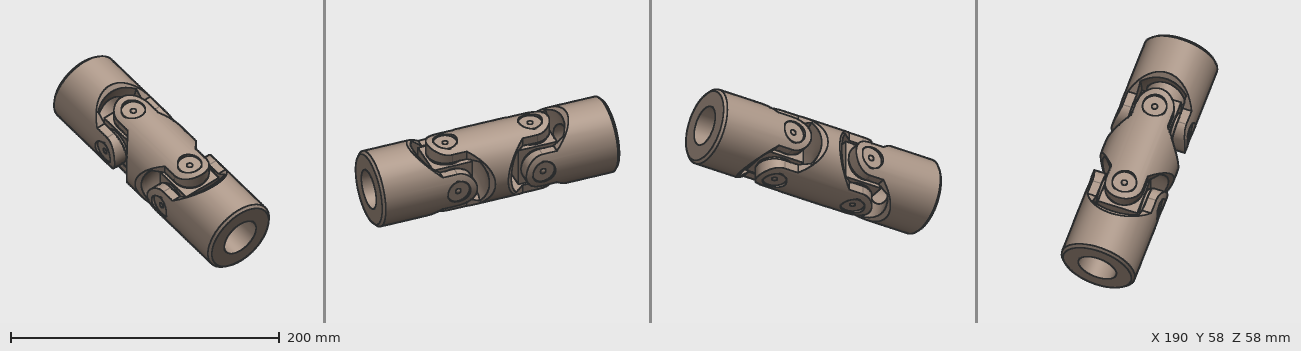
import cadquery as cq
import math


total_length = 190.0
body_diameter = 58.0
body_radius = body_diameter / 2
joint_spacing = 68.0
joint_offset = joint_spacing / 2
end_yoke_length = total_length / 2 - joint_offset

arm_half_width = 14.5
arm_inner_face = 18.0
shoulder_start = 28.9
shoulder_end = 11.5

slot_depth = 28.9
barrel_curve_radius = 95.0

bore_diameter = 30.0
end_chamfer = 2.0

cube_size = 31.0
boss_diameter = 26.0
pin_diameter = 18.0
pin_reach = 26.6
dome_diameter = 4.4
dome_height = 0.8


def barrel_radius_at(height):
    """Radius of the slot floor at a given distance from the middle of the body."""
    sagitta = barrel_curve_radius - math.sqrt(barrel_curve_radius**2 - height**2)
    return slot_depth - sagitta


def fork(back_length):
    """Fork with its joint centre at the origin, opening to +X, with its arms on the +Z and -Z sides."""
    body = (
        cq.Workplane("YZ", origin=(-back_length, 0, 0))
        .circle(body_radius)
        .extrude(back_length + arm_half_width)
    )

    arm_outline = (
        cq.Workplane("XY")
        .moveTo(-back_length, -body_radius)
        .lineTo(-shoulder_start, -body_radius)
        .lineTo(-shoulder_end, -arm_half_width)
        .lineTo(0, -arm_half_width)
        .threePointArc((arm_half_width, 0), (0, arm_half_width))
        .lineTo(-shoulder_end, arm_half_width)
        .lineTo(-shoulder_start, body_radius)
        .lineTo(-back_length, body_radius)
        .close()
        .extrude(body_radius, both=True)
    )

    slot_end_radius = barrel_radius_at(body_radius)
    slot = (
        cq.Workplane("XY")
        .moveTo(0, -body_radius)
        .lineTo(slot_end_radius, -body_radius)
        .threePointArc((slot_depth, 0), (slot_end_radius, body_radius))
        .lineTo(0, body_radius)
        .close()
        .revolve(360, (0, 0, 0), (0, 1, 0))
        .intersect(cq.Workplane("XY").box(total_length, body_diameter, 2 * arm_inner_face))
    )

    pin_hole = cq.Workplane("XY").circle(pin_diameter / 2).extrude(body_radius, both=True)
    return body.intersect(arm_outline).cut(slot).cut(pin_hole)


def end_yoke():
    """Left end yoke, in place, with its arms on the +Y and -Y sides."""
    yoke = fork(end_yoke_length).faces("<X").edges().chamfer(end_chamfer)
    bore = (
        cq.Workplane("YZ", origin=(-end_yoke_length, 0, 0))
        .circle(bore_diameter / 2)
        .extrude(end_yoke_length)
    )
    return yoke.cut(bore).rotate((0, 0, 0), (1, 0, 0), 90).translate((-joint_offset, 0, 0))


def centre_yoke():
    """Two forks back to back, with their arms on the +Z and -Z sides."""
    right_half = fork(joint_offset).translate((joint_offset, 0, 0))
    return right_half.union(right_half.mirror("YZ"))


def pin_dome():
    """Small spherical cap on the end face of the +Z pin."""
    base_radius = dome_diameter / 2
    sphere_radius = (base_radius**2 + dome_height**2) / (2 * dome_height)
    return (
        cq.Workplane("XY", origin=(0, 0, pin_reach + dome_height - sphere_radius))
        .sphere(sphere_radius)
        .intersect(cq.Workplane("XY", origin=(0, 0, pin_reach)).circle(base_radius).extrude(dome_height))
    )


def cross(joint_x):
    """Cube with a stepped pin on each of its +Y, -Y, +Z and -Z faces."""
    body = cq.Workplane("XY").box(cube_size, cube_size, cube_size)
    for turn in (0, 90):
        boss = cq.Workplane("XY").circle(boss_diameter / 2).extrude(arm_inner_face, both=True)
        pin = cq.Workplane("XY").circle(pin_diameter / 2).extrude(pin_reach, both=True)
        body = body.union(boss.union(pin).rotate((0, 0, 0), (1, 0, 0), turn))
    for turn in (0, 90, 180, 270):
        body = body.union(pin_dome().rotate((0, 0, 0), (1, 0, 0), turn))
    return body.translate((joint_x, 0, 0))


left_yoke = end_yoke()
right_yoke = left_yoke.mirror("YZ")
middle_yoke = centre_yoke()
crosses = [cross(side * joint_offset) for side in (-1, 1)]

result = cq.Compound.makeCompound(
    [left_yoke.val(), middle_yoke.val(), right_yoke.val(), *[item.val() for item in crosses]]
)